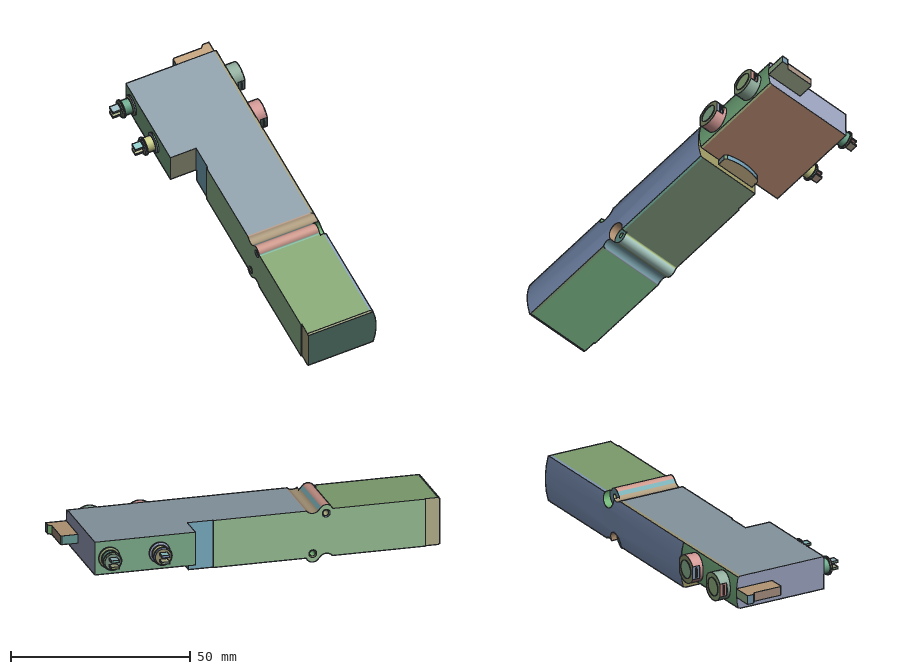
import cadquery as cq
import math

length = 108.5
width = 38.2
height = 16.7
body_top = 14.0
through = 2 * length

body_start = 35.5
body_front = 7.6
body_back = 28.9
end_bevel_run = 0.5
end_bevel_drop = 0.3
relief_depth = 0.3
relief_left_end = 42.6
relief_right_start = 104.3

head_start = 6.0
head_end = 35.2
head_bottom = 4.2
head_back = 28.4
head_mid_z = (head_bottom + body_top) / 2

bevel_start_y = 27.1
bevel_end_y = 27.9
bevel_drop = 0.2

boss_x = 75.4
boss_radius = 3.9 / 2
boss_height = (height - body_top) / 2
groove_x = 71.5
groove_radius = 4.5 / 2
groove_depth = 0.9
root_fillet = 0.5
screw_z = 12.8
screw_diameter = 1.6
screw_mouth_diameter = 2.3
mouth_depth = 0.3
screw_head_diameter = 5.3
screw_head_seat_y = 26.1

clip_shank_x = 1.0
clip_front = 16.8
clip_hook_front = 26.5
clip_slope_front = 25.6
clip_thickness = 2.6
clip_chamfer = 0.3

tongue_tip_x = 31.6
tongue_shoulder_x = 32.4
tongue_corner_x = 33.1
tongue_front = 9.1
tongue_back = 21.4
tongue_corner = 0.7
tongue_bottom = 2.0
tongue_top = 3.9

station_count = 2
station_pitch = 14.6
connector_x = 10.1
flange_diameter = 6.1
flange_rim = 0.4
flange_cone_diameter = 4.9
flange_depth = 0.8
neck_diameter = 4.5
disc_diameter = 5.3
disc_start = 3.1
disc_end = 3.9
disc_chamfer = 0.3
blade_width = 2.3
blade_thickness = 0.7
blade_spacing = 2.0

button_x = 13.3
button_diameter = 8.1
button_top = 31.6
button_root = 27.1
button_face_diameter = 5.3
button_face_height = 0.16
button_face_top = button_top + button_face_height
button_flat_x = 3.6
button_flat_start = 29.4
ridge_start = 30.3
ridge_end = 30.6
ridge_height = 2.9

blade_end = width - button_face_top


def block(x0, x1, y0, y1, z0, z1):
    """Box between two opposite corners."""
    return cq.Workplane("XY").box(x1 - x0, y1 - y0, z1 - z0, centered=False).translate((x0, y0, z0))


def rod(x, z, diameter, y0, y1):
    """Round bar along Y."""
    bar = cq.Workplane("XZ").circle(diameter / 2).extrude(y0 - y1)
    return bar.translate((x, y0, z))


def back_envelope(z_low, z_high, apex_y):
    """Prism along X that bevels and bulges a back face; open in front of the bevels."""
    z_mid = (z_low + z_high) / 2
    return (
        cq.Workplane("YZ")
        .moveTo(-through, z_low - through)
        .lineTo(bevel_start_y, z_low - through)
        .lineTo(bevel_start_y, z_low)
        .lineTo(bevel_end_y, z_low + bevel_drop)
        .threePointArc((apex_y, z_mid), (bevel_end_y, z_high - bevel_drop))
        .lineTo(bevel_start_y, z_high)
        .lineTo(bevel_start_y, z_high + through)
        .lineTo(-through, z_high + through)
        .close()
        .extrude(through)
        .translate((-length / 2, 0, 0))
    )


def opposite(point):
    """The same point turned half a turn about the middle between boss and groove."""
    return (groove_x + boss_x - point[0], body_top - point[1])


def on_circle(center, radius, angle):
    """Point on a circle at an angle from +X."""
    return (center[0] + radius * math.cos(angle), center[1] + radius * math.sin(angle))


def main_outline():
    """Side outline of the main body with a boss and a groove on the top and on the underside."""
    boss = (boss_x, body_top + boss_height - boss_radius)
    groove = (groove_x, body_top - groove_depth + groove_radius)

    run = boss[0] - groove[0]
    fall = boss[1] - groove[1]
    flank_angle = math.atan2(fall, run) - math.acos(
        (boss_radius + groove_radius) / math.hypot(run, fall)
    )
    groove_end = on_circle(groove, groove_radius, flank_angle)
    boss_start = on_circle(boss, boss_radius, flank_angle + math.pi)
    groove_floor = on_circle(groove, groove_radius, -math.pi / 2)
    boss_peak = on_circle(boss, boss_radius, math.pi / 2)

    entry_rise = groove[1] - (body_top - root_fillet)
    entry_angle = math.asin(entry_rise / (groove_radius + root_fillet))
    entry = on_circle(groove, groove_radius + root_fillet, entry_angle + math.pi)
    entry_start = on_circle(entry, root_fillet, math.pi / 2)
    entry_mid = on_circle(entry, root_fillet, (entry_angle + math.pi / 2) / 2)
    groove_start = on_circle(entry, root_fillet, entry_angle)

    exit_rise = body_top + root_fillet - boss[1]
    exit_angle = math.asin(exit_rise / (boss_radius + root_fillet))
    leave = on_circle(boss, boss_radius + root_fillet, exit_angle)
    boss_end = on_circle(boss, boss_radius, exit_angle)
    leave_mid = on_circle(leave, root_fillet, (exit_angle + math.pi / 2) / 2 + math.pi)
    leave_end = on_circle(leave, root_fillet, -math.pi / 2)

    def wave(outline, place):
        """Append the groove and boss, with each point moved by the function `place`."""
        return (
            outline.lineTo(*place(entry_start))
            .threePointArc(place(entry_mid), place(groove_start))
            .threePointArc(place(groove_floor), place(groove_end))
            .lineTo(*place(boss_start))
            .threePointArc(place(boss_peak), place(boss_end))
            .threePointArc(place(leave_mid), place(leave_end))
        )

    outline = cq.Workplane("XZ").moveTo(body_start, 0).lineTo(body_start, body_top)
    outline = wave(outline, lambda point: point)
    outline = (
        outline.lineTo(length - end_bevel_run, body_top)
        .lineTo(length, body_top - end_bevel_drop)
        .lineTo(length, end_bevel_drop)
        .lineTo(length - end_bevel_run, 0)
    )
    return wave(outline, opposite).close()


def screw_passage(x, z):
    """Through hole with a tapered mouth in front and a seat for the screw head behind."""
    hole = rod(x, z, screw_diameter, -through, through)
    seat = rod(x, z, screw_head_diameter, screw_head_seat_y, through)
    mouth = cq.Workplane(
        cq.Solid.makeCone(
            screw_mouth_diameter / 2,
            screw_diameter / 2,
            mouth_depth,
            cq.Vector(x, body_front, z),
            cq.Vector(0, 1, 0),
        )
    )
    return hole.union(seat).union(mouth)


def make_main_body():
    relieved_front = body_front + relief_depth
    body = main_outline().extrude(body_front - body_back).translate((0, body_front, 0))
    body = body.intersect(back_envelope(0, body_top, body_back))
    body = body.cut(block(body_start, relief_left_end, 0, relieved_front, -through, through))
    body = body.cut(block(relief_right_start, length, 0, relieved_front, -through, through))
    upper_screw = (boss_x, screw_z)
    for x, z in (upper_screw, opposite(upper_screw)):
        body = body.cut(screw_passage(x, z))
    return body


def make_head():
    head = block(head_start, head_end, 0, head_back, head_bottom, body_top)
    bridge = block(
        head_end, body_start, body_front + relief_depth, head_back, head_bottom, body_top
    )
    return head.union(bridge).intersect(back_envelope(head_bottom, body_top, head_back))


def make_clip():
    outline = [
        (head_start, head_back),
        (0, head_back),
        (0, clip_hook_front),
        (clip_shank_x, clip_slope_front),
        (clip_shank_x, clip_front + clip_chamfer),
        (clip_shank_x + clip_chamfer, clip_front),
        (head_start, clip_front),
    ]
    plate = cq.Workplane("XY").polyline(outline).close().extrude(clip_thickness)
    return plate.translate((0, 0, head_mid_z - clip_thickness / 2))


def make_tongue():
    middle_y = (tongue_front + tongue_back) / 2
    plate = (
        cq.Workplane("XY")
        .moveTo(body_start, tongue_front)
        .lineTo(tongue_corner_x, tongue_front)
        .lineTo(tongue_shoulder_x, tongue_front + tongue_corner)
        .threePointArc((tongue_tip_x, middle_y), (tongue_shoulder_x, tongue_back - tongue_corner))
        .lineTo(tongue_corner_x, tongue_back)
        .lineTo(body_start, tongue_back)
        .close()
        .extrude(tongue_top - tongue_bottom)
    )
    return plate.translate((0, 0, tongue_bottom))


def make_connector(x):
    """Turned plug with two flat contact blades, pointing toward -Y."""
    turned = (
        cq.Workplane("XY")
        .moveTo(0, 0)
        .lineTo(flange_diameter / 2, 0)
        .lineTo(flange_diameter / 2, -flange_rim)
        .lineTo(flange_cone_diameter / 2, -flange_depth)
        .lineTo(neck_diameter / 2, -flange_depth)
        .lineTo(neck_diameter / 2, -disc_start)
        .lineTo(disc_diameter / 2, -disc_start)
        .lineTo(disc_diameter / 2, -disc_end + disc_chamfer)
        .lineTo(disc_diameter / 2 - disc_chamfer, -disc_end)
        .lineTo(0, -disc_end)
        .close()
        .revolve(360, (0, 0, 0), (0, 1, 0))
        .translate((x, 0, head_mid_z))
    )
    for side in (-1, 1):
        blade_z = head_mid_z + side * blade_spacing / 2
        blade = block(
            x - blade_width / 2,
            x + blade_width / 2,
            -blade_end,
            -disc_end,
            blade_z - blade_thickness / 2,
            blade_z + blade_thickness / 2,
        )
        turned = turned.union(blade)
    return turned


def make_button(x):
    """Round button with a flat on each side and a short grip ridge across each flat."""
    barrel = rod(x, head_mid_z, button_diameter, button_root, button_top)
    core = block(
        x - button_flat_x, x + button_flat_x, button_root, button_top, -through, through
    )
    base = block(x - through, x + through, button_root, button_flat_start, -through, through)
    ridge = block(
        x - through,
        x + through,
        ridge_start,
        ridge_end,
        head_mid_z - ridge_height / 2,
        head_mid_z + ridge_height / 2,
    )
    button = barrel.intersect(core.union(base).union(ridge))
    return button.union(rod(x, head_mid_z, button_face_diameter, button_top, button_face_top))


result = make_main_body().union(make_head()).union(make_clip()).union(make_tongue())
for station in range(station_count):
    offset = station * station_pitch
    result = result.union(make_connector(connector_x + offset))
    result = result.union(make_button(button_x + offset))
result = result.clean()